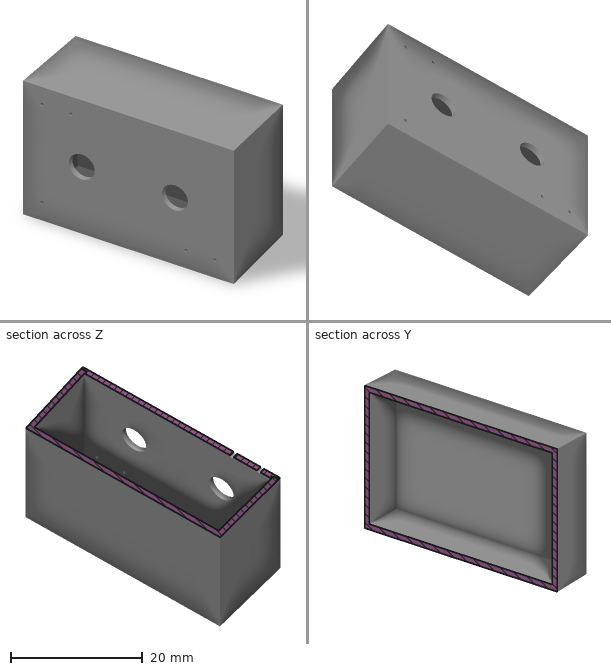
import cadquery as cq

width = 37.2
height = 24.3
depth = 15.0

panel_thickness = 0.5
plug_depth = 0.5
port_diameter = 4.55
port_spacing = 16.45
pinhole_diameter = 0.6
pinhole_outer_x = 15.25
pinhole_inner_x = 10.15
pinhole_z = 8.93

taper_inset = 0.3
wall_thickness = 1.0
housing_depth = depth - panel_thickness
cavity_depth = housing_depth - wall_thickness

port_centres = [(-port_spacing / 2, 0), (port_spacing / 2, 0)]
pinhole_centres = [
    (-pinhole_outer_x, pinhole_z),
    (-pinhole_inner_x, pinhole_z),
    (-pinhole_outer_x, -pinhole_z),
    (pinhole_inner_x, -pinhole_z),
    (pinhole_outer_x, -pinhole_z),
]


def plane_at(y):
    """Plane across the depth at the given Y, with local axes X and Z and its normal along -Y."""
    return cq.Workplane("XZ", origin=(0, y, 0))


def tapered_block(wall_offset, length):
    """Block running back from the panel, parallel to the housing sides and offset inwards from them."""
    end_inset = taper_inset * length / housing_depth
    front_width = width - 2 * wall_offset
    front_height = height - 2 * wall_offset
    return (
        plane_at(panel_thickness)
        .rect(front_width, front_height)
        .workplane(offset=-length)
        .rect(front_width - 2 * end_inset, front_height - 2 * end_inset)
        .loft(ruled=True)
    )


def make_panel():
    """Plate with a plug that fits the housing mouth, pierced by two round ports and five pinholes."""
    hole_depth = panel_thickness + plug_depth
    plate = plane_at(0).rect(width, height).extrude(-panel_thickness)
    plug = tapered_block(wall_thickness, plug_depth)
    ports = plane_at(0).pushPoints(port_centres).circle(port_diameter / 2).extrude(-hole_depth)
    pinholes = plane_at(0).pushPoints(pinhole_centres).circle(pinhole_diameter / 2).extrude(-hole_depth)
    return plate.union(plug).cut(ports).cut(pinholes)


def make_housing():
    """Tapered box with even side walls, a closed back and a mouth that takes the panel plug."""
    return tapered_block(0, housing_depth).cut(tapered_block(wall_thickness, cavity_depth))


panel = make_panel()
housing = make_housing()

result = cq.Compound.makeCompound([panel.val(), housing.val()])